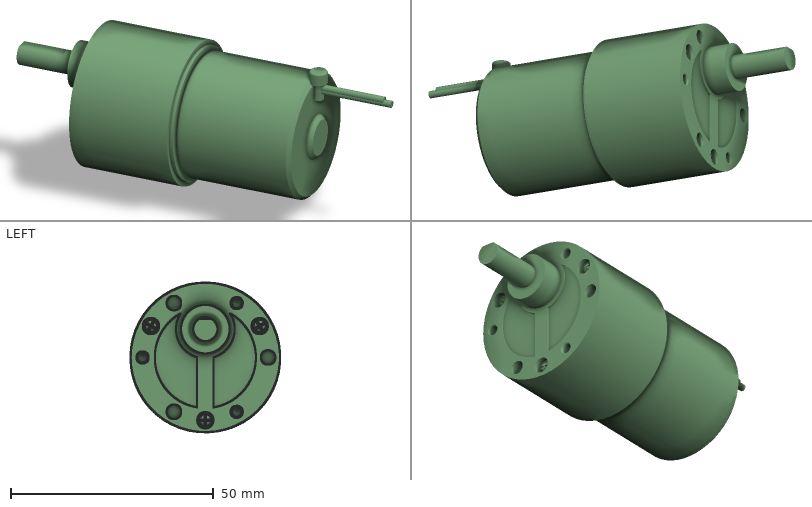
import cadquery as cq
import math

SHAFT_OFFSET = 7.0
SHAFT_RADIUS = 3.0
SHAFT_LENGTH = 21.0
FLAT_LENGTH = 12.0
FLAT_DEPTH = 0.5
BOSS_RADIUS = 6.0
BOSS_LENGTH = 6.0

GEARBOX_RADIUS = 18.5
GEARBOX_LENGTH = 26.5
PLATE_RADIUS = 17.25
PLATE_THICKNESS = 1.0

MOTOR_RADIUS = 16.1
MOTOR_FRONT = GEARBOX_LENGTH + PLATE_THICKNESS
MOTOR_LENGTH = 31.0
MOTOR_REAR = MOTOR_FRONT + MOTOR_LENGTH
MOTOR_FRONT_FILLET = 1.3
MOTOR_REAR_CHAMFER = 1.0

HUB_BASE_RADIUS = 5.8
HUB_LENGTH = 1.2
HUB_TIP_RADIUS = HUB_BASE_RADIUS - HUB_LENGTH

POCKET_RADIUS = 12.5
POCKET_DEPTH = 0.4
COLLAR_RADIUS = 7.25
WEB_WIDTH = 4.0

HOLE_CIRCLE_RADIUS = 15.5
PLAIN_HOLE_DIAMETER = 3.6
PLAIN_HOLE_DEPTH = 3.0
TAPPED_HOLE_DIAMETER = 2.5
TAPPED_HOLE_DEPTH = 5.0
TAPPED_MOUTH_DIAMETER = 3.0
DRILL_POINT_ANGLE = 118.0
SCREW_RECESS_DIAMETER = 4.0
SCREW_RECESS_DEPTH = 1.6
SCREW_HEAD_DIAMETER = 3.1
SCREW_HEAD_HEIGHT = 0.8
CROSS_SLOT_LENGTH = 2.6
CROSS_SLOT_WIDTH = 0.3
CROSS_SLOT_DEPTH = 0.6

TERMINAL_X = 59.2
TERMINAL_HEAD_RADIUS = 2.3
TERMINAL_HEAD_TOP = 18.4
TERMINAL_HEAD_HEIGHT = 3.6
TERMINAL_HEAD_FILLET = 0.5
STEM_RADIUS = 1.4
STEM_BOTTOM = 10.7

WIRE_RADIUS = 0.9
UPPER_WIRE_Z = 13.85
UPPER_WIRE_END = 77.0
LOWER_WIRE_Z = 13.1
LOWER_WIRE_END = 79.0


def x_cylinder(radius, start, end, z=0.0):
    """Cylinder along X between two stations, centred at height z."""
    return cq.Workplane("YZ", origin=(start, 0, z)).circle(radius).extrude(end - start)


def z_cylinder(radius, bottom, top):
    """Upright cylinder on the terminal axis."""
    return cq.Workplane("XY", origin=(TERMINAL_X, 0, bottom)).circle(radius).extrude(top - bottom)


def output_shaft():
    boss = x_cylinder(BOSS_RADIUS, -BOSS_LENGTH, 0, SHAFT_OFFSET)
    shaft = x_cylinder(SHAFT_RADIUS, -SHAFT_LENGTH, 0, SHAFT_OFFSET)
    flat_z = SHAFT_OFFSET + SHAFT_RADIUS - FLAT_DEPTH
    flat = cq.Workplane("XY", origin=(-SHAFT_LENGTH, 0, flat_z)).box(
        FLAT_LENGTH, 2 * SHAFT_RADIUS, SHAFT_RADIUS, centered=(False, True, False)
    )
    return boss.union(shaft.cut(flat))


def gearbox():
    housing = x_cylinder(GEARBOX_RADIUS, 0, GEARBOX_LENGTH)
    plate = x_cylinder(PLATE_RADIUS, GEARBOX_LENGTH, MOTOR_FRONT)
    return housing.union(plate)


def motor():
    can = x_cylinder(MOTOR_RADIUS, MOTOR_FRONT, MOTOR_REAR)
    can = can.faces("<X").edges().fillet(MOTOR_FRONT_FILLET)
    can = can.faces(">X").edges().chamfer(MOTOR_REAR_CHAMFER)
    hub = (
        cq.Workplane("YZ", origin=(MOTOR_REAR, 0, 0))
        .circle(HUB_BASE_RADIUS)
        .workplane(offset=HUB_LENGTH)
        .circle(HUB_TIP_RADIUS)
        .loft()
    )
    return can.union(hub)


def face_pockets():
    """Round recess split by the collar around the boss and the web below it."""
    recess = x_cylinder(POCKET_RADIUS, 0, POCKET_DEPTH)
    collar = x_cylinder(COLLAR_RADIUS, 0, POCKET_DEPTH, SHAFT_OFFSET)
    web = cq.Workplane("XY", origin=(0, 0, -POCKET_RADIUS)).box(
        POCKET_DEPTH, WEB_WIDTH, POCKET_RADIUS + SHAFT_OFFSET, centered=(False, True, False)
    )
    return recess.cut(collar).cut(web)


def plain_hole():
    return x_cylinder(PLAIN_HOLE_DIAMETER / 2, 0, PLAIN_HOLE_DEPTH)


def tapped_hole():
    """Drilled hole with a chamfered mouth and a conical end."""
    radius = TAPPED_HOLE_DIAMETER / 2
    mouth_radius = TAPPED_MOUTH_DIAMETER / 2
    chamfer = mouth_radius - radius
    tip = TAPPED_HOLE_DEPTH + radius / math.tan(math.radians(DRILL_POINT_ANGLE / 2))
    profile = [(0, 0), (0, mouth_radius), (chamfer, radius), (TAPPED_HOLE_DEPTH, radius), (tip, 0)]
    return cq.Workplane("XY").polyline(profile).close().revolve(360, (0, 0, 0), (1, 0, 0))


def screw_recess():
    """Flat-bottomed recess around a domed screw head with a cross slot."""
    recess = x_cylinder(SCREW_RECESS_DIAMETER / 2, 0, SCREW_RECESS_DEPTH)
    head_top = SCREW_RECESS_DEPTH - SCREW_HEAD_HEIGHT
    head_radius = SCREW_HEAD_DIAMETER / 2
    dome_radius = (head_radius**2 + SCREW_HEAD_HEIGHT**2) / (2 * SCREW_HEAD_HEIGHT)
    dome = cq.Workplane("XY").sphere(dome_radius).translate((head_top + dome_radius, 0, 0))
    head = x_cylinder(head_radius, head_top, SCREW_RECESS_DEPTH).intersect(dome)
    slot = cq.Workplane("YZ", origin=(head_top, 0, 0)).rect(CROSS_SLOT_LENGTH, CROSS_SLOT_WIDTH)
    slot = slot.extrude(CROSS_SLOT_DEPTH)
    cross = slot.union(slot.rotate((0, 0, 0), (1, 0, 0), 90))
    return recess.cut(head.cut(cross))


def three_around(cutter, first_angle):
    """Three copies on the hole circle; angles run from +Y towards +Z."""
    copies = cq.Workplane("XY")
    first = cutter.translate((0, HOLE_CIRCLE_RADIUS, 0))
    for step in range(3):
        copies = copies.add(first.rotate((0, 0, 0), (1, 0, 0), first_angle + 120 * step))
    return copies.combine()


def terminal():
    head_bottom = TERMINAL_HEAD_TOP - TERMINAL_HEAD_HEIGHT
    head = z_cylinder(TERMINAL_HEAD_RADIUS, head_bottom, TERMINAL_HEAD_TOP)
    head = head.edges().fillet(TERMINAL_HEAD_FILLET)
    stem = z_cylinder(STEM_RADIUS, STEM_BOTTOM, head_bottom + TERMINAL_HEAD_FILLET)
    upper_wire = x_cylinder(WIRE_RADIUS, TERMINAL_X, UPPER_WIRE_END, UPPER_WIRE_Z)
    lower_wire = x_cylinder(WIRE_RADIUS, TERMINAL_X, LOWER_WIRE_END, LOWER_WIRE_Z)
    return head.union(stem).union(upper_wire).union(lower_wire)


result = gearbox().union(motor()).union(output_shaft()).union(terminal())
result = result.cut(face_pockets())
result = result.cut(three_around(plain_hole(), 60))
result = result.cut(three_around(tapped_hole(), 0))
result = result.cut(three_around(screw_recess(), 30))